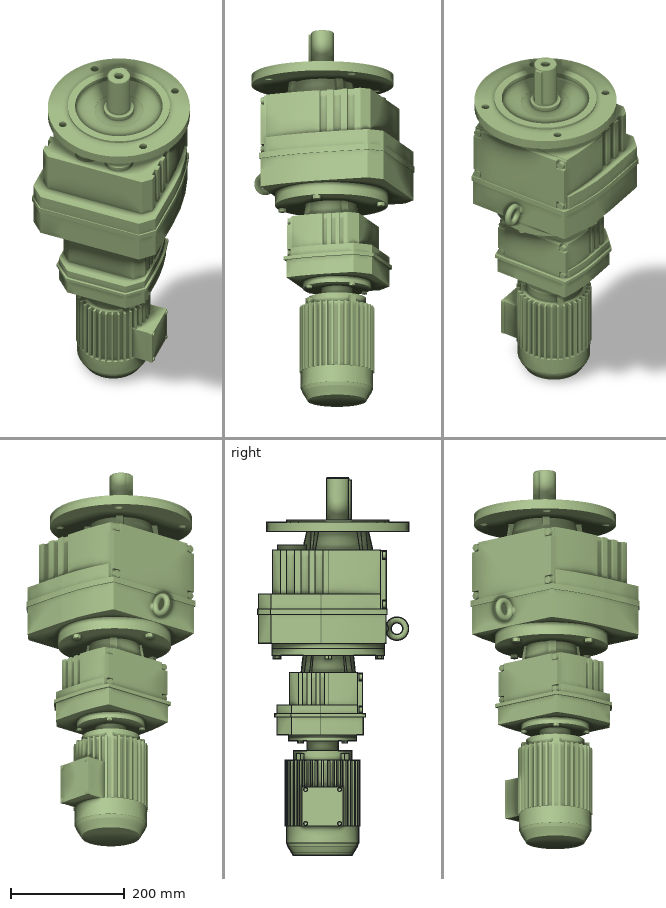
import cadquery as cq
OUTPUT_Y = 0.0
ADAPTER_Y = -16.5
MOTOR_Y = -26.5

HOOD_EDGE = 4.5
HOOD_TAPER_TOP = 15.0
HOOD_BEND = 21.0
FINS_BOTTOM = 51.0
FINS_TOP = 167.0
MOTOR_SHIELD_TOP = 184.0
MOTOR_PLATE_BOTTOM = 201.0
MOTOR_JOINT = 208.0
INPUT_BOTTOM = 212.0
INPUT_RIM_BOTTOM = 243.0
INPUT_RIM_TOP = 249.0
INPUT_STEP = 264.0
INPUT_TOP = 321.5
ADAPTER_FLANGE_BOTTOM = 351.0
ADAPTER_JOINT = 363.0
OUTPUT_BOTTOM = 372.5
OUTPUT_RIM_BOTTOM = 423.0
OUTPUT_RIM_TOP = 433.0
OUTPUT_STEP = 459.5
OUTPUT_TOP = 537.0
FLANGE_BOTTOM = 569.0
FLANGE_TOP = 585.5
SPIGOT_TOP = 589.5
SHAFT_TOP = 664.0

FLANGE_DIAMETER = 250.0
SPIGOT_DIAMETER = 180.0
RECESS_DIAMETER = 154.0
RECESS_DEPTH = 11.0
RECESS_CHAMFER = 2.0
SEAL_DIAMETER = 86.0
SEAL_DEPTH = 0.5
FLANGE_HOLE_DIAMETER = 14.0
FLANGE_HOLE_CIRCLE = 215.0
COLLAR_DIAMETER = 52.5
COLLAR_HEIGHT = 8.0
SHAFT_DIAMETER = 40.0
SHAFT_CHAMFER = 1.0
CENTRE_HOLE_DIAMETER = 16.0
CENTRE_HOLE_DEPTH = 33.0
CENTRE_SINK_DIAMETER = 18.5
KEY_WIDTH = 12.0
KEY_RISE = 4.0
KEY_END_GAP = 4.0
KEY_LENGTH = 70.0

OUTPUT_UPPER = dict(half_width=103.5, back_half_width=95.0, front=-115.0, bend=-16.5, back=75.0, chamfer=14.5)
OUTPUT_SHOULDER = dict(half_width=115.5, back_half_width=99.5, front=-139.5, bend=-29.0, back=75.0, chamfer=22.5)
OUTPUT_RIM = dict(half_width=117.5, back_half_width=98.0, front=-141.0, bend=-29.0, back=87.0, chamfer=22.5)
OUTPUT_LOWER = dict(half_width=115.5, back_half_width=96.0, front=-139.5, bend=-29.0, back=85.0, chamfer=22.5)
OUTPUT_GROOVES = dict(first_y=-32.5, pitch=25.0, width=14.0, depth=5.0)
OUTPUT_COVER = dict(half_width=95.5, inner=75.0, outer=85.5, notch=16.0)

INPUT_UPPER = dict(half_width=77.0, back_half_width=70.5, front=-85.0, bend=-16.5, back=35.0, chamfer=16.0)
INPUT_SHOULDER = dict(half_width=81.0, back_half_width=73.0, front=-107.0, bend=-30.5, back=35.0, chamfer=26.0)
INPUT_RIM = dict(half_width=85.0, back_half_width=74.5, front=-111.0, bend=-30.5, back=49.0, chamfer=28.5)
INPUT_LOWER = dict(half_width=81.0, back_half_width=71.0, front=-107.0, bend=-30.5, back=45.0, chamfer=26.0)
INPUT_GROOVES = dict(first_y=-27.0, pitch=15.0, width=8.0, depth=4.0)
INPUT_COVER = dict(half_width=71.0, inner=35.0, outer=44.0, notch=13.0)

GROOVE_COUNT = 3
COVER_TOP_GAP = 1.0
COVER_NOTCH_DEPTH = 6.5
COVER_SCREW_RATIO = 0.8
NECK_RIB_WIDTH = 12.5
DIAGONALS = (45, 135, 225, 315)

OUTPUT_NECK_RADIUS_TOP = 54.5
OUTPUT_NECK_RADIUS_BOTTOM = 62.0
OUTPUT_RIB_RADIUS_TOP = 64.0
OUTPUT_RIB_RADIUS_BOTTOM = 68.5
BEARING_CAP_HEIGHT = 8.5
BEARING_CAP_Y = -80.5
BEARING_CAPS = ((-26.5, 23.0), (32.0, 26.0))
SCALLOP_CLEARANCE = 10.0
ADAPTER_DIAMETER = 198.5

EYE_Y = 104.0
EYE_Z = 398.5
EYE_RING_RADIUS = 15.0
EYE_BAR_RADIUS = 5.0
EYE_NECK_RADIUS = 6.0
EYE_BASE_RADIUS = 9.0

INPUT_NECK_RADIUS_TOP = 44.5
INPUT_NECK_RADIUS_BOTTOM = 48.0
INPUT_RIB_RADIUS_TOP = 48.0
INPUT_RIB_RADIUS_BOTTOM = 53.0
ADAPTER_BOLT_CIRCLE = 180.5
ADAPTER_BOLT_SIZE = 14.0
ADAPTER_BOLT_HEIGHT = 6.0
MOTOR_PLATE_DIAMETER = 119.5

MOTOR_NECK_DIAMETER = 55.0
MOTOR_BOLT_CIRCLE = 110.0
MOTOR_BOLT_SIZE = 10.5
MOTOR_BOLT_HEIGHT = 4.0
SHIELD_DIAMETER = 103.0
CORE_RADIUS = 58.0
FIN_TIP_RADIUS = 66.0
FIN_COUNT = 36
FIN_THICKNESS = 3.0
LUG_COUNT = 4
LUG_WIDTH = 10.5
LUG_TIP_RADIUS = 60.0
LUG_TOP = 179.0
HOOD_RADIUS = 64.0
HOOD_BEND_RADIUS = 63.0
HOOD_TAPER_RADIUS = 61.0
HOOD_EDGE_RADIUS = 54.5
HOOD_END_RADIUS = 52.0

TERMINAL_BOX_WIDTH = 69.0
TERMINAL_BOX_TOP = 120.0
TERMINAL_BOX_REACH = 82.0
TERMINAL_LID_THICKNESS = 6.0
LID_OVERHANG = 1.0
LID_SCREW_DIAMETER = 6.5
LID_SCREW_HEIGHT = 2.0
LID_SCREW_INSET = 4.5


def disc(y, radius, bottom, top):
    """Upright cylinder whose axis stands at (0, y)."""
    return cq.Workplane("XY", origin=(0, y, bottom)).circle(radius).extrude(top - bottom)


def cone(y, bottom_radius, top_radius, bottom, top):
    """Upright truncated cone whose axis stands at (0, y)."""
    profile = [(0, bottom), (bottom_radius, bottom), (top_radius, top), (0, top)]
    return cq.Workplane("XZ", origin=(0, y, 0)).polyline(profile).close().revolve(360, (0, 0), (0, 1))


def bolt_heads(y, bolt_circle, size, bottom, top, first_angle):
    """Four hexagon heads on a bolt circle."""
    return (
        cq.Workplane("XY", origin=(0, y, bottom))
        .polarArray(bolt_circle / 2, first_angle, 360, 4)
        .polygon(6, size)
        .extrude(top - bottom)
    )


def neck_ribs(y, bottom_radius, top_radius, bottom, top):
    """Four diagonal ribs that lean with the neck."""
    profile = [(0, bottom), (bottom_radius, bottom), (top_radius, top), (0, top)]
    rib = cq.Workplane("XZ").polyline(profile).close().extrude(NECK_RIB_WIDTH / 2, both=True)
    ribs = cq.Workplane("XY")
    for angle in DIAGONALS:
        ribs = ribs.union(rib.rotate((0, 0, 0), (0, 0, 1), angle))
    return ribs.translate((0, y, 0))


def casing_block(half_width, back_half_width, front, bend, back, chamfer, bottom, top):
    """Prism with a chamfered front, straight sides up to the bend and bowed sides behind it."""
    return (
        cq.Workplane("XY", origin=(0, 0, bottom))
        .moveTo(0, front)
        .lineTo(half_width - chamfer, front)
        .lineTo(half_width, front + chamfer)
        .lineTo(half_width, bend)
        .tangentArcPoint((back_half_width, back), relative=False)
        .lineTo(0, back)
        .mirrorY()
        .extrude(top - bottom)
    )


def side_grooves(half_width, first_y, pitch, width, depth, bottom, top):
    """Cutters for the upright grooves in both sides of a casing."""
    centres = [(side * half_width, first_y - i * pitch) for side in (-1, 1) for i in range(GROOVE_COUNT)]
    return (
        cq.Workplane("XY", origin=(0, 0, bottom))
        .pushPoints(centres)
        .rect(2 * depth, width)
        .extrude(top - bottom)
    )


def back_cover(half_width, inner, outer, notch, bottom, top):
    """Flat cover on the back of a casing, with a screw head in a notch at each corner."""
    height = top - bottom
    notch_floor = outer - COVER_NOTCH_DEPTH
    plate = cq.Workplane("XY", origin=(0, inner, bottom)).box(
        2 * half_width, outer - inner, height, centered=(True, False, False)
    )
    corners = [(x, z) for x in (-half_width, half_width) for z in (bottom, top)]
    screws = [
        (x, z) for x in (notch / 2 - half_width, half_width - notch / 2) for z in (bottom + notch / 2, top - notch / 2)
    ]
    notches = (
        cq.Workplane("XZ", origin=(0, notch_floor, 0))
        .pushPoints(corners)
        .rect(2 * notch, 2 * notch)
        .extrude(-COVER_NOTCH_DEPTH)
    )
    heads = (
        cq.Workplane("XZ", origin=(0, notch_floor, 0))
        .pushPoints(screws)
        .circle(COVER_SCREW_RATIO * notch / 2)
        .extrude(-COVER_NOTCH_DEPTH)
    )
    return plate.cut(notches).union(heads)


def output_casing():
    upper = casing_block(**OUTPUT_UPPER, bottom=OUTPUT_STEP, top=OUTPUT_TOP)
    grooves = side_grooves(OUTPUT_UPPER["half_width"], **OUTPUT_GROOVES, bottom=OUTPUT_STEP, top=OUTPUT_TOP)
    shoulder = casing_block(**OUTPUT_SHOULDER, bottom=OUTPUT_RIM_TOP, top=OUTPUT_STEP)
    rim = casing_block(**OUTPUT_RIM, bottom=OUTPUT_RIM_BOTTOM, top=OUTPUT_RIM_TOP)
    lower = casing_block(**OUTPUT_LOWER, bottom=OUTPUT_BOTTOM, top=OUTPUT_RIM_BOTTOM)
    cover = back_cover(**OUTPUT_COVER, bottom=OUTPUT_RIM_TOP, top=OUTPUT_TOP - COVER_TOP_GAP)
    joint_ring = disc(ADAPTER_Y, ADAPTER_DIAMETER / 2, ADAPTER_JOINT, OUTPUT_BOTTOM)
    return upper.cut(grooves).union(shoulder).union(rim).union(lower).union(cover).union(joint_ring)


def bearing_caps(clearance, height):
    """Round caps on top of the casing, widened by a clearance when they serve as cutters."""
    caps = cq.Workplane("XY")
    for x, radius in BEARING_CAPS:
        cap = cq.Workplane("XY", origin=(x, BEARING_CAP_Y, OUTPUT_TOP)).circle(radius + clearance).extrude(height)
        caps = caps.add(cap)
    return caps.combine()


def output_neck():
    neck = cone(OUTPUT_Y, OUTPUT_NECK_RADIUS_BOTTOM, OUTPUT_NECK_RADIUS_TOP, OUTPUT_TOP, FLANGE_BOTTOM)
    ribs = neck_ribs(OUTPUT_Y, OUTPUT_RIB_RADIUS_BOTTOM, OUTPUT_RIB_RADIUS_TOP, OUTPUT_TOP, FLANGE_BOTTOM)
    return neck.union(ribs).cut(bearing_caps(SCALLOP_CLEARANCE, FLANGE_BOTTOM - OUTPUT_TOP))


def output_flange():
    recess_floor = SPIGOT_TOP - RECESS_DEPTH
    recess_radius = RECESS_DIAMETER / 2
    holes = (
        cq.Workplane("XY", origin=(0, OUTPUT_Y, FLANGE_BOTTOM))
        .polarArray(FLANGE_HOLE_CIRCLE / 2, 45, 360, 4)
        .circle(FLANGE_HOLE_DIAMETER / 2)
        .extrude(FLANGE_TOP - FLANGE_BOTTOM)
    )
    return (
        disc(OUTPUT_Y, FLANGE_DIAMETER / 2, FLANGE_BOTTOM, FLANGE_TOP)
        .union(disc(OUTPUT_Y, SPIGOT_DIAMETER / 2, FLANGE_TOP, SPIGOT_TOP))
        .cut(disc(OUTPUT_Y, recess_radius, recess_floor, SPIGOT_TOP).faces("<Z").chamfer(RECESS_CHAMFER))
        .cut(disc(OUTPUT_Y, SEAL_DIAMETER / 2, recess_floor - SEAL_DEPTH, recess_floor))
        .cut(holes)
    )


def output_shaft():
    recess_floor = SPIGOT_TOP - RECESS_DEPTH
    collar_bottom = recess_floor - SEAL_DEPTH
    shaft = disc(OUTPUT_Y, SHAFT_DIAMETER / 2, collar_bottom, SHAFT_TOP).faces(">Z").chamfer(SHAFT_CHAMFER)
    collar = disc(OUTPUT_Y, COLLAR_DIAMETER / 2, collar_bottom, recess_floor + COLLAR_HEIGHT)
    key = (
        cq.Workplane("XY", origin=(0, OUTPUT_Y, SHAFT_TOP - KEY_END_GAP))
        .rect(KEY_WIDTH, SHAFT_DIAMETER + 2 * KEY_RISE)
        .extrude(-KEY_LENGTH)
        .intersect(cq.Workplane("XY").box(KEY_WIDTH, SHAFT_DIAMETER, 2 * SHAFT_TOP, centered=(True, False, True)))
    )
    centre_hole = disc(OUTPUT_Y, CENTRE_HOLE_DIAMETER / 2, SHAFT_TOP - CENTRE_HOLE_DEPTH, SHAFT_TOP)
    sink_depth = (CENTRE_SINK_DIAMETER - CENTRE_HOLE_DIAMETER) / 2
    sink = cone(OUTPUT_Y, CENTRE_HOLE_DIAMETER / 2, CENTRE_SINK_DIAMETER / 2, SHAFT_TOP - sink_depth, SHAFT_TOP)
    return shaft.union(collar).union(key).cut(centre_hole).cut(sink)


def lifting_eye():
    ring = cq.Workplane("XY").add(
        cq.Solid.makeTorus(EYE_RING_RADIUS, EYE_BAR_RADIUS, cq.Vector(0, EYE_Y, EYE_Z), cq.Vector(1, 0, 0))
    )
    back = OUTPUT_LOWER["back"]
    stem = cq.Workplane("XY").add(
        cq.Solid.makeCone(EYE_BASE_RADIUS, EYE_NECK_RADIUS, EYE_Y - EYE_RING_RADIUS - back,
                          cq.Vector(0, back, EYE_Z), cq.Vector(0, 1, 0))
    )
    return ring.union(stem)


def make_output_gearbox():
    return (
        output_casing()
        .union(bearing_caps(0, BEARING_CAP_HEIGHT))
        .union(output_neck())
        .union(output_flange())
        .union(output_shaft())
        .union(lifting_eye())
    )


def make_input_gearbox():
    upper = casing_block(**INPUT_UPPER, bottom=INPUT_STEP, top=INPUT_TOP)
    grooves = side_grooves(INPUT_UPPER["half_width"], **INPUT_GROOVES, bottom=INPUT_STEP, top=INPUT_TOP)
    shoulder = casing_block(**INPUT_SHOULDER, bottom=INPUT_RIM_TOP, top=INPUT_STEP)
    rim = casing_block(**INPUT_RIM, bottom=INPUT_RIM_BOTTOM, top=INPUT_RIM_TOP)
    lower = casing_block(**INPUT_LOWER, bottom=INPUT_BOTTOM, top=INPUT_RIM_BOTTOM)
    cover = back_cover(**INPUT_COVER, bottom=INPUT_RIM_TOP, top=INPUT_TOP - COVER_TOP_GAP)
    neck = cone(ADAPTER_Y, INPUT_NECK_RADIUS_BOTTOM, INPUT_NECK_RADIUS_TOP, INPUT_TOP, ADAPTER_FLANGE_BOTTOM)
    ribs = neck_ribs(ADAPTER_Y, INPUT_RIB_RADIUS_BOTTOM, INPUT_RIB_RADIUS_TOP, INPUT_TOP, ADAPTER_FLANGE_BOTTOM)
    adapter = disc(ADAPTER_Y, ADAPTER_DIAMETER / 2, ADAPTER_FLANGE_BOTTOM, ADAPTER_JOINT)
    bolts = bolt_heads(ADAPTER_Y, ADAPTER_BOLT_CIRCLE, ADAPTER_BOLT_SIZE,
                       ADAPTER_FLANGE_BOTTOM - ADAPTER_BOLT_HEIGHT, ADAPTER_FLANGE_BOTTOM, 0)
    joint_ring = disc(MOTOR_Y, MOTOR_PLATE_DIAMETER / 2, MOTOR_JOINT, INPUT_BOTTOM)
    return (
        upper.cut(grooves).union(shoulder).union(rim).union(lower).union(cover)
        .union(neck).union(ribs).union(adapter).union(bolts).union(joint_ring)
    )


def motor_mount():
    plate = disc(MOTOR_Y, MOTOR_PLATE_DIAMETER / 2, MOTOR_PLATE_BOTTOM, MOTOR_JOINT)
    bolts = bolt_heads(MOTOR_Y, MOTOR_BOLT_CIRCLE, MOTOR_BOLT_SIZE,
                       MOTOR_PLATE_BOTTOM - MOTOR_BOLT_HEIGHT, MOTOR_PLATE_BOTTOM, 45)
    neck = disc(MOTOR_Y, MOTOR_NECK_DIAMETER / 2, MOTOR_SHIELD_TOP, MOTOR_PLATE_BOTTOM)
    shield = disc(MOTOR_Y, SHIELD_DIAMETER / 2, FINS_TOP, MOTOR_SHIELD_TOP)
    return plate.union(bolts).union(neck).union(shield)


def radial_blocks(count, first_angle, width, tip_radius, bottom, top):
    """Upright plates that stand radially around the motor axis."""
    root_radius = SHIELD_DIAMETER / 2 - 6.5
    return (
        cq.Workplane("XY", origin=(0, MOTOR_Y, bottom))
        .polarArray((root_radius + tip_radius) / 2, first_angle, 360, count)
        .rect(tip_radius - root_radius, width)
        .extrude(top - bottom)
    )


def finned_stator():
    core = disc(MOTOR_Y, CORE_RADIUS, FINS_BOTTOM, FINS_TOP)
    fins = radial_blocks(FIN_COUNT, 0, FIN_THICKNESS, FIN_TIP_RADIUS, FINS_BOTTOM, FINS_TOP)
    lugs = radial_blocks(LUG_COUNT, 45, LUG_WIDTH, LUG_TIP_RADIUS, FINS_BOTTOM, LUG_TOP)
    return core.union(fins).union(lugs)


def fan_hood():
    profile = [
        (0, 0),
        (HOOD_END_RADIUS, 0),
        (HOOD_EDGE_RADIUS, HOOD_EDGE),
        (HOOD_TAPER_RADIUS, HOOD_TAPER_TOP),
        (HOOD_BEND_RADIUS, HOOD_BEND),
        (HOOD_RADIUS, HOOD_BEND),
        (HOOD_RADIUS, FINS_BOTTOM),
        (0, FINS_BOTTOM),
    ]
    return cq.Workplane("XZ", origin=(0, MOTOR_Y, 0)).polyline(profile).close().revolve(360, (0, 0), (0, 1))


def terminal_box():
    height = TERMINAL_BOX_TOP - FINS_BOTTOM
    middle_z = FINS_BOTTOM + height / 2
    box = cq.Workplane("XY", origin=(0, MOTOR_Y, FINS_BOTTOM)).box(
        TERMINAL_BOX_REACH, TERMINAL_BOX_WIDTH, height, centered=(False, True, False)
    )
    lid_face = cq.Workplane("YZ", origin=(TERMINAL_BOX_REACH, MOTOR_Y, middle_z))
    lid = lid_face.rect(TERMINAL_BOX_WIDTH + 2 * LID_OVERHANG, height).extrude(TERMINAL_LID_THICKNESS)
    screws = (
        lid_face.workplane(offset=TERMINAL_LID_THICKNESS)
        .rect(TERMINAL_BOX_WIDTH - 2 * LID_SCREW_INSET, height - 2 * LID_SCREW_INSET, forConstruction=True)
        .vertices()
        .circle(LID_SCREW_DIAMETER / 2)
        .extrude(LID_SCREW_HEIGHT)
    )
    return box.union(lid).union(screws)


def make_motor():
    return motor_mount().union(finned_stator()).union(fan_hood()).union(terminal_box())


output_gearbox = make_output_gearbox()
input_gearbox = make_input_gearbox()
motor = make_motor()

result = cq.Compound.makeCompound([output_gearbox.val(), input_gearbox.val(), motor.val()])